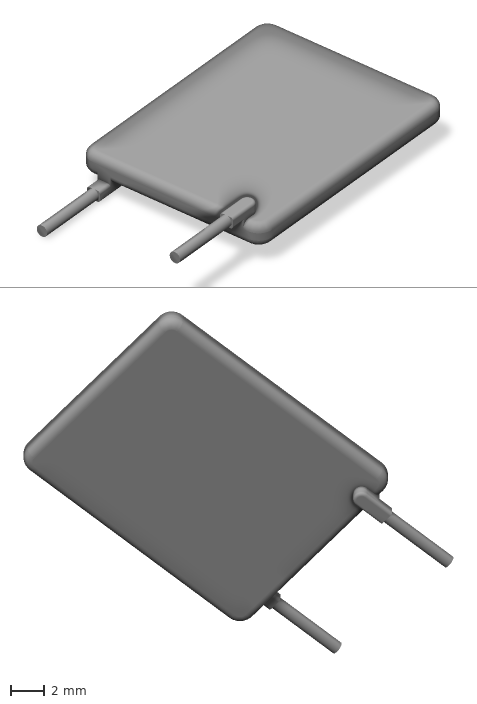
import cadquery as cq

body_width = 14.0
body_length = 18.0
total_height = 3.2
body_thickness = total_height / 2
body_corner_radius = 1.0
body_edge_radius = 0.53
body_front = -body_length / 2
body_top = body_thickness / 2

total_length = 24.0
lead_pitch = 10.2
lead_diameter = (total_height - body_thickness) / 2
lead_tip = body_length / 2 - total_length
lead_height = body_top + lead_diameter / 2

jacket_width = 1.0
jacket_overlap = 1.5
jacket_overhang = 1.0
jacket_edge_radius = 0.2
jacket_end = body_front - jacket_overhang
jacket_top = body_top + lead_diameter


def make_body():
    """Rectangular slab with rounded corners and rounded rims."""
    slab = cq.Workplane("XY").box(body_width, body_length, body_thickness)
    slab = slab.edges("|Z").fillet(body_corner_radius)
    return slab.faces("<Z or >Z").edges().fillet(body_edge_radius)


def make_jacket_foot():
    """Round-backed block, flush with the body front and rooted at mid-thickness."""
    half_width = jacket_width / 2
    arc_start = body_front + jacket_overlap - half_width
    foot = (
        cq.Workplane("XY")
        .moveTo(-half_width, body_front)
        .lineTo(half_width, body_front)
        .lineTo(half_width, arc_start)
        .threePointArc((0, arc_start + half_width), (-half_width, arc_start))
        .close()
        .extrude(jacket_top)
    )
    return foot.faces(">Z").edges("not <Y").fillet(jacket_edge_radius)


def make_jacket_sleeve():
    """Rounded bar that overhangs the front of the body."""
    return (
        cq.Workplane("XZ", origin=(0, body_front, lead_height))
        .rect(jacket_width, lead_diameter)
        .extrude(jacket_overhang)
        .edges("|Y")
        .fillet(jacket_edge_radius)
    )


def make_wire():
    """Straight round wire from the jacket end to the lead tip."""
    return (
        cq.Workplane("XZ", origin=(0, jacket_end, lead_height))
        .circle(lead_diameter / 2)
        .extrude(jacket_end - lead_tip)
    )


def make_upper_lead():
    """Jacket and wire on the top face, at the +X side."""
    lead = make_jacket_foot().union(make_jacket_sleeve()).union(make_wire())
    return lead.translate((lead_pitch / 2, 0, 0))


upper_lead = make_upper_lead()
lower_lead = upper_lead.rotate((0, 0, 0), (0, 1, 0), 180)

result = make_body().union(upper_lead).union(lower_lead)